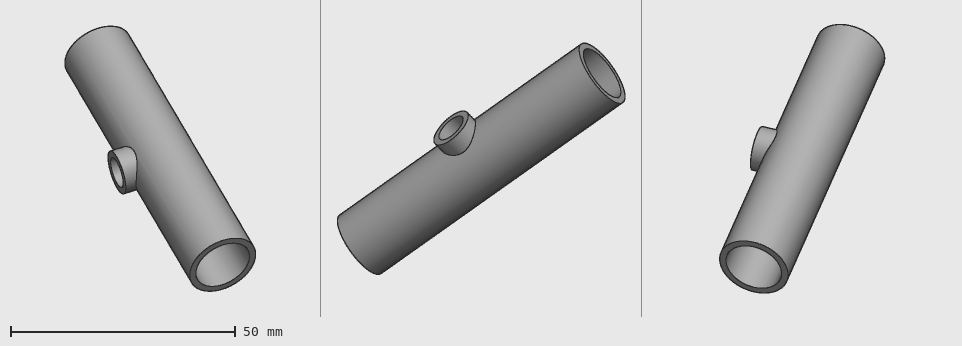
import cadquery as cq

run_length = 70.0
run_diameter = 16.0
branch_diameter = 10.0
branch_reach = 10.5
wall = 1.5

run_bore = run_diameter - 2 * wall
branch_bore = branch_diameter - 2 * wall


def run_cylinder(diameter):
    """Cylinder along X, centred on the origin, the full length of the run."""
    return cq.Workplane("YZ").circle(diameter / 2).extrude(run_length / 2, both=True)


def branch_cylinder(diameter):
    """Cylinder from the run axis out to the branch face, toward -Y."""
    return cq.Workplane("XZ").circle(diameter / 2).extrude(branch_reach)


body = run_cylinder(run_diameter).union(branch_cylinder(branch_diameter))

result = body.cut(run_cylinder(run_bore)).cut(branch_cylinder(branch_bore))